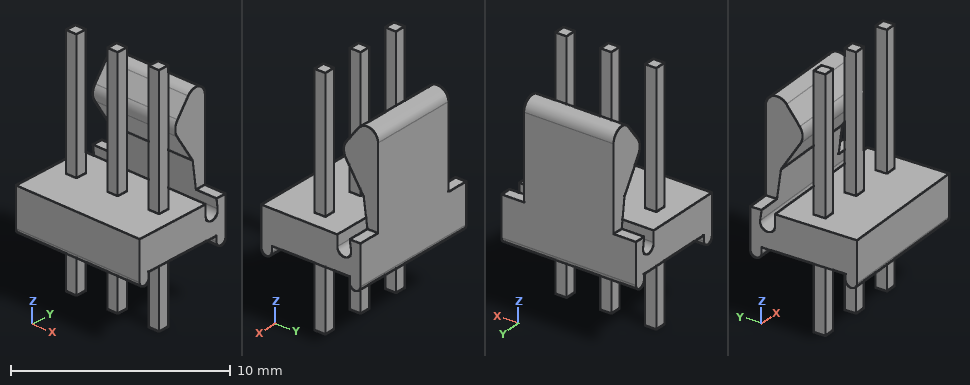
import cadquery as cq
import math

pin_count = 3
pitch = 2.54
pin_size = 0.64
pin_length = 13.59

housing_width = pin_count * pitch
housing_depth = 5.85
back_y = 3.17
front_y = back_y - housing_depth
housing_top = 6.12
housing_underside = 4.17
foot_bottom = 3.55
foot_thickness = 0.63
foot_radius = foot_thickness / 2

slot_radius = 0.41
slot_center = (back_y - 0.95, 5.49)
slot_front_y = slot_center[0] - slot_radius

latch_width = (pin_count - 1) * pitch
latch_top = 11.44
crest_radius = 0.64
crest_center = (back_y - crest_radius, latch_top - crest_radius)
nose_reach = 2.02
nose_radius = 0.76
nose_center = (back_y - nose_reach + nose_radius, 9.78)
throat = (back_y - 0.84, 7.7)


def tangent_points(center_a, radius_a, center_b, radius_b, side):
    """Contact points of an outer tangent of two circles; side is +1 (left) or -1 (right) going a to b."""
    dy = center_b[0] - center_a[0]
    dz = center_b[1] - center_a[1]
    spread = math.acos((radius_a - radius_b) / math.hypot(dy, dz))
    angle = math.atan2(dz, dy) + side * spread
    return [
        (center[0] + radius * math.cos(angle), center[1] + radius * math.sin(angle))
        for center, radius in ((center_a, radius_a), (center_b, radius_b))
    ]


crest_end, nose_start = tangent_points(crest_center, crest_radius, nose_center, nose_radius, -1)
nose_end = tangent_points(nose_center, nose_radius, throat, 0, -1)[0]
slot_back = tangent_points(throat, 0, slot_center, slot_radius, 1)[1]

slope = (slot_back[0] - throat[0]) / (slot_back[1] - throat[1])
latch_root_y = throat[0] + slope * (housing_top - throat[1])


def make_housing():
    """Housing with two rounded feet and the full-width relief slot."""
    foot_center_z = foot_bottom + foot_radius
    return (
        cq.Workplane("YZ")
        .moveTo(front_y, housing_top)
        .lineTo(front_y, foot_center_z)
        .threePointArc((front_y + foot_radius, foot_bottom), (front_y + foot_thickness, foot_center_z))
        .lineTo(front_y + foot_thickness, housing_underside)
        .lineTo(back_y - foot_thickness, housing_underside)
        .lineTo(back_y - foot_thickness, foot_center_z)
        .threePointArc((back_y - foot_radius, foot_bottom), (back_y, foot_center_z))
        .lineTo(back_y, housing_top)
        .lineTo(latch_root_y, housing_top)
        .lineTo(*slot_back)
        .threePointArc((slot_center[0], slot_center[1] - slot_radius), (slot_front_y, slot_center[1]))
        .lineTo(slot_front_y, housing_top)
        .close()
        .extrude(housing_width / 2, both=True)
    )


def make_latch():
    """Latch with a rounded crest and a nose that overhangs the housing."""
    return (
        cq.Workplane("YZ")
        .moveTo(back_y, housing_top)
        .lineTo(back_y, crest_center[1])
        .threePointArc((crest_center[0], latch_top), crest_end)
        .lineTo(*nose_start)
        .threePointArc((back_y - nose_reach, nose_center[1]), nose_end)
        .lineTo(*throat)
        .lineTo(latch_root_y, housing_top)
        .close()
        .extrude(latch_width / 2, both=True)
    )


def make_pins():
    """Row of square pins running through the housing."""
    return (
        cq.Workplane("XY")
        .rarray(pitch, pitch, pin_count, 1)
        .rect(pin_size, pin_size)
        .extrude(pin_length)
    )


result = make_housing().union(make_latch()).union(make_pins())